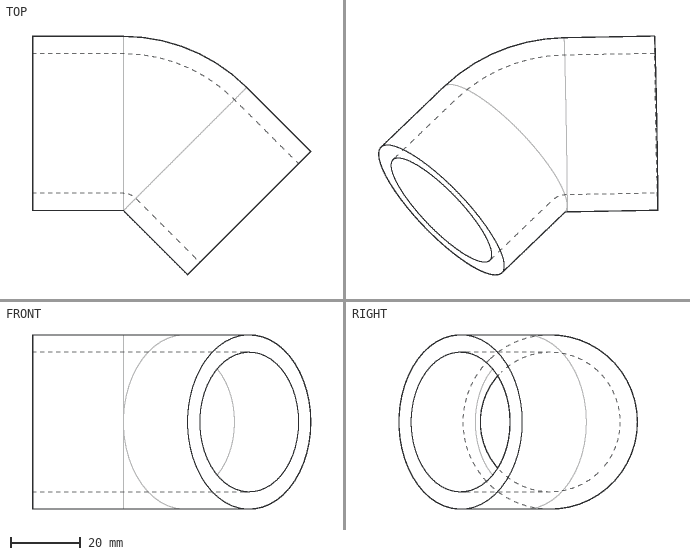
import cadquery as cq
import math

outer_diameter = 50.0
bore_diameter = 40.0
overall_length = 79.75
bend_angle = 45

axis_clearance = 0.04
bend_radius = outer_diameter / 2 + axis_clearance

bend_reach = (bend_radius + outer_diameter / 2) * math.sin(math.radians(bend_angle))
leg_length = (overall_length - bend_reach) / (1 + math.cos(math.radians(bend_angle)))

pivot = (leg_length, -bend_radius, 0)
pivot_top = (leg_length, -bend_radius, 1)


def straight_leg(diameter, start_x):
    """Solid round bar along X, one leg long."""
    return cq.Workplane("YZ", origin=(start_x, 0, 0)).circle(diameter / 2).extrude(leg_length)


def bend(diameter):
    """Solid round bar swept around the pivot, turning from +X toward -Y."""
    return (
        cq.Workplane("YZ", origin=(leg_length, 0, 0))
        .circle(diameter / 2)
        .revolve(bend_angle, (-bend_radius, 0, 0), (-bend_radius, -1, 0))
    )


def elbow_bar(diameter):
    """Entry leg, bend and exit leg joined as one solid bar."""
    exit_leg = straight_leg(diameter, leg_length).rotate(pivot, pivot_top, -bend_angle)
    return straight_leg(diameter, 0).union(bend(diameter)).union(exit_leg)


result = elbow_bar(outer_diameter).cut(elbow_bar(bore_diameter))